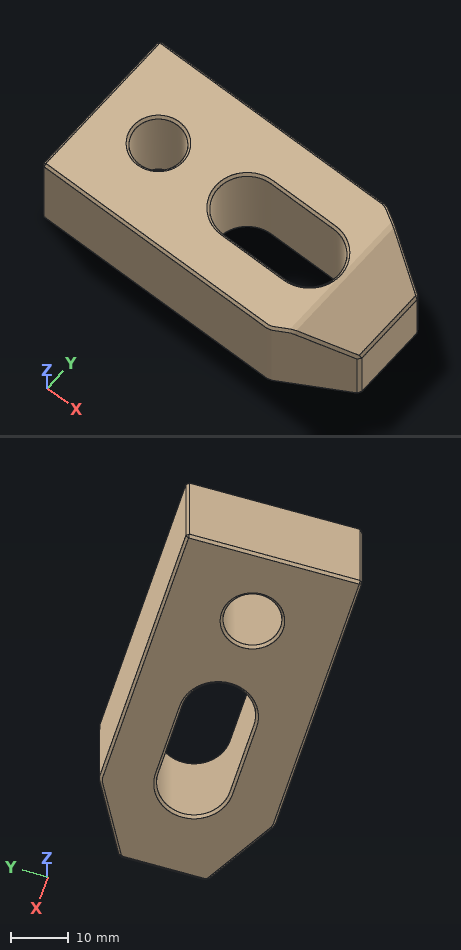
import cadquery as cq
import math

LENGTH = 65.0
WIDTH = 32.0
HEIGHT = 19.0

TAPER_ANGLE = 30.0
TIP_WIDTH = 16.0
TIP_HEIGHT = 13.0

HOLE_DIAMETER = 10.2
HOLE_X = 13.0
SLOT_LENGTH = 27.0
SLOT_WIDTH = 13.0
SLOT_X = 40.0

EDGE_CHAMFER = 0.5

TAPER_SLOPE = math.tan(math.radians(TAPER_ANGLE))
SIDE_TAPER_START = LENGTH - (WIDTH - TIP_WIDTH) / 2 / TAPER_SLOPE
TOP_TAPER_START = LENGTH - (HEIGHT - TIP_HEIGHT) / TAPER_SLOPE


def make_plan():
    """Plan outline with tapered nose sides, extruded to full height."""
    return (
        cq.Workplane("XY")
        .moveTo(0, -WIDTH / 2)
        .lineTo(SIDE_TAPER_START, -WIDTH / 2)
        .lineTo(LENGTH, -TIP_WIDTH / 2)
        .lineTo(LENGTH, TIP_WIDTH / 2)
        .lineTo(SIDE_TAPER_START, WIDTH / 2)
        .lineTo(0, WIDTH / 2)
        .close()
        .extrude(HEIGHT)
    )


def make_profile():
    """Side profile with the sloping nose top, extruded to full width."""
    return (
        cq.Workplane("XZ")
        .moveTo(0, 0)
        .lineTo(LENGTH, 0)
        .lineTo(LENGTH, TIP_HEIGHT)
        .lineTo(TOP_TAPER_START, HEIGHT)
        .lineTo(0, HEIGHT)
        .close()
        .extrude(WIDTH / 2, both=True)
    )


def make_body():
    """Block with a tapered nose and every outer edge chamfered."""
    return make_plan().intersect(make_profile()).edges().chamfer(EDGE_CHAMFER)


def make_openings():
    """Round hole and lengthwise slot, as solids running through the full height."""
    hole = cq.Workplane("XY").center(HOLE_X, 0).circle(HOLE_DIAMETER / 2).extrude(HEIGHT)
    slot = cq.Workplane("XY").center(SLOT_X, 0).slot2D(SLOT_LENGTH, SLOT_WIDTH).extrude(HEIGHT)
    return hole.union(slot)


def chamfer_rims(part):
    """Chamfer both rims of each opening.

    The round edges are selected; the chamfer carries on along the tangent slot sides.
    """
    rims = part.faces(">Z or <Z").edges("%CIRCLE")
    return rims.chamfer(EDGE_CHAMFER)


result = chamfer_rims(make_body().cut(make_openings()))